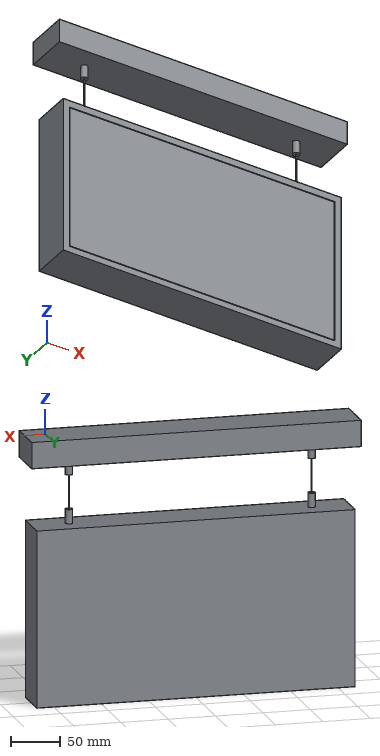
import cadquery as cq

length = 348.0
depth = 50.0
height = 281.2

canopy_height = 28.0

box_length = 336.0
box_depth = 46.0
box_height = 187.0
frame_width = 8.0
panel_recess = 1.0

cable_spacing = 256.0
cable_diameter = 1.2
grip_diameter = 7.5
grip_height = 15.0

canopy_bottom = height - canopy_height


def block(size_x, size_y, size_z, bottom):
    """Rectangular block centred on the Z axis, standing on the given level."""
    return cq.Workplane("XY").workplane(offset=bottom).rect(size_x, size_y).extrude(size_z)


def vertical_rod(x, diameter, bottom, top):
    """Vertical cylinder between two levels."""
    return cq.Workplane("XY").workplane(offset=bottom).center(x, 0).circle(diameter / 2).extrude(top - bottom)


def sign_box():
    """Box with a shallow framed panel on its front face."""
    body = block(box_length, box_depth, box_height, 0)
    return (
        body.faces("<Y").workplane(centerOption="CenterOfBoundBox")
        .rect(box_length - 2 * frame_width, box_height - 2 * frame_width)
        .cutBlind(-panel_recess)
    )


def suspension(x):
    """Cable with a grip at the box and a grip at the canopy."""
    cable = vertical_rod(x, cable_diameter, box_height, canopy_bottom)
    lower_grip = vertical_rod(x, grip_diameter, box_height, box_height + grip_height)
    upper_grip = vertical_rod(x, grip_diameter, canopy_bottom - grip_height, canopy_bottom)
    return cable.union(lower_grip).union(upper_grip)


result = sign_box().union(block(length, depth, canopy_height, canopy_bottom))
for side in (-1, 1):
    result = result.union(suspension(side * cable_spacing / 2))